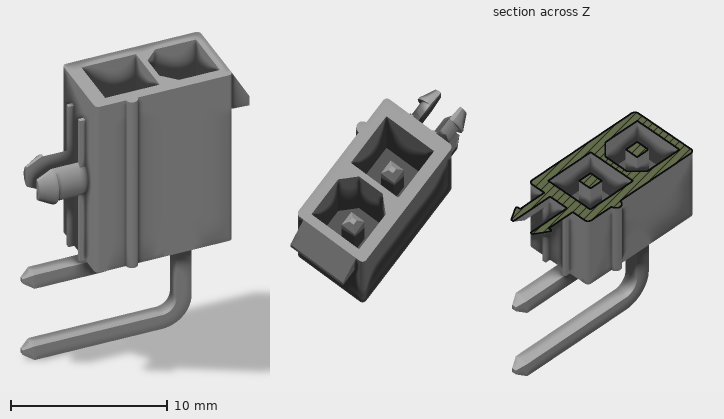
import cadquery as cq


HOUSING_WIDTH = 5.4
HOUSING_DEPTH = 9.6
HOUSING_HEIGHT = 12.8
CORNER_RADIUS = 0.3

CONTACT_PITCH = 4.2
FRONT_CONTACT_Y = 2.9
REAR_CONTACT_Y = FRONT_CONTACT_Y + CONTACT_PITCH
POCKET_SIZE = 3.8
POCKET_DEPTH = 9.96
POCKET_CHAMFER = 0.95

PIN_SIZE = 1.05
PIN_INNER_BEND = 1.0
PIN_BEND_RADIUS = PIN_INNER_BEND + PIN_SIZE / 2
PIN_POINT_LENGTH = 0.68
PIN_POINT_SIZE = 0.34
PIN_TOP_RECESS = 3.99
PIN_TOP_Z = HOUSING_HEIGHT - PIN_TOP_RECESS
PIN_REACH = 4.0
PIN_ROW_SPACING = 5.5
OVERALL_HEIGHT = 19.93
REAR_PIN_Z = HOUSING_HEIGHT - OVERALL_HEIGHT + PIN_SIZE / 2
FRONT_PIN_Z = REAR_PIN_Z + PIN_ROW_SPACING

RAMP_WIDTH = 4.2
RAMP_REACH = 1.4
RAMP_SLOPE_HEIGHT = 2.43
RAMP_ROOT_HEIGHT = 3.07
RAMP_LIP_HEIGHT = 3.15

SIDE_RIB_RADIUS = 0.4
SIDE_RIB_Y = 2.51

SPLIT_GAP = 1.51
RAIL_THICKNESS = 0.3
RAIL_REACH = 0.4
RAIL_HEIGHT = 10.85
PEG_Z = 6.2
PEG_RADIUS = 1.5
PEG_LENGTH = 3.3
BARB_OVERHANG = 0.28
BARB_RIM_LENGTH = 0.14
BARB_TAPER_LENGTH = 1.02
BARB_TIP_RADIUS = 1.0
BARB_TIP_HEIGHT = 1.47


def make_housing():
    return (
        cq.Workplane("XY")
        .center(0, HOUSING_DEPTH / 2)
        .rect(HOUSING_WIDTH, HOUSING_DEPTH)
        .extrude(HOUSING_HEIGHT)
        .edges("|Z")
        .fillet(CORNER_RADIUS)
    )


def make_pocket(contact_y):
    return (
        cq.Workplane("XY", origin=(0, contact_y, HOUSING_HEIGHT))
        .rect(POCKET_SIZE, POCKET_SIZE)
        .extrude(-POCKET_DEPTH)
    )


def make_ramp():
    lip_y = HOUSING_DEPTH + RAMP_REACH
    inner_y = HOUSING_DEPTH - CORNER_RADIUS
    outline = [
        (inner_y, HOUSING_HEIGHT),
        (HOUSING_DEPTH, HOUSING_HEIGHT),
        (lip_y, HOUSING_HEIGHT - RAMP_SLOPE_HEIGHT),
        (lip_y, HOUSING_HEIGHT - RAMP_LIP_HEIGHT),
        (HOUSING_DEPTH, HOUSING_HEIGHT - RAMP_ROOT_HEIGHT),
        (inner_y, HOUSING_HEIGHT - RAMP_ROOT_HEIGHT),
    ]
    return cq.Workplane("YZ").polyline(outline).close().extrude(RAMP_WIDTH / 2, both=True)


def make_side_rib():
    return (
        cq.Workplane("XY")
        .center(HOUSING_WIDTH / 2, SIDE_RIB_Y)
        .circle(SIDE_RIB_RADIUS)
        .extrude(HOUSING_HEIGHT)
    )


def make_rail(side):
    return (
        cq.Workplane("XY")
        .center(side * (SPLIT_GAP + RAIL_THICKNESS) / 2, 0)
        .rect(RAIL_THICKNESS, 2 * RAIL_REACH)
        .extrude(RAIL_HEIGHT)
    )


def make_shank():
    """Round peg with its middle cut away, running forward from the front wall."""
    shank_length = PEG_LENGTH - BARB_TAPER_LENGTH
    shank = cq.Workplane("XZ", origin=(0, 0, PEG_Z)).circle(PEG_RADIUS).extrude(shank_length)
    gap = cq.Workplane("XY").box(SPLIT_GAP, 2 * PEG_LENGTH, 2 * PEG_RADIUS).translate((0, 0, PEG_Z))
    return shank.cut(gap)


def make_barb(side):
    """Outward-stepped, tapering end of one half of the peg."""
    taper_y = BARB_TAPER_LENGTH - PEG_LENGTH
    rim_y = taper_y + BARB_RIM_LENGTH
    flat_half_height = (PEG_RADIUS**2 - (SPLIT_GAP / 2) ** 2) ** 0.5
    round_end = (
        cq.Workplane("XY")
        .polyline(
            [
                (0, rim_y),
                (PEG_RADIUS, rim_y),
                (PEG_RADIUS, taper_y),
                (BARB_TIP_RADIUS, -PEG_LENGTH),
                (0, -PEG_LENGTH),
            ]
        )
        .close()
        .revolve(360, (0, 0, 0), (0, 1, 0))
        .translate((side * BARB_OVERHANG, 0, PEG_Z))
    )
    wedge = (
        cq.Workplane("YZ", origin=(side * SPLIT_GAP / 2, 0, PEG_Z))
        .polyline(
            [
                (rim_y, flat_half_height),
                (taper_y, flat_half_height),
                (-PEG_LENGTH, BARB_TIP_HEIGHT / 2),
                (-PEG_LENGTH, -BARB_TIP_HEIGHT / 2),
                (taper_y, -flat_half_height),
                (rim_y, -flat_half_height),
            ]
        )
        .close()
        .extrude(side * (PEG_RADIUS + BARB_OVERHANG))
    )
    return round_end.intersect(wedge)


def make_point(plane):
    """Blunt four-sided point rising along the normal of the given plane."""
    return (
        cq.Workplane(plane)
        .rect(PIN_SIZE, PIN_SIZE)
        .workplane(offset=PIN_POINT_LENGTH)
        .rect(PIN_POINT_SIZE, PIN_POINT_SIZE)
        .loft(ruled=True)
    )


def make_pin(contact_y, tail_z):
    """Square pin from inside its pocket down and forward, pointed at both ends."""
    shoulder_z = PIN_TOP_Z - PIN_POINT_LENGTH
    shoulder_y = PIN_POINT_LENGTH - PIN_REACH
    centre_line = (
        cq.Workplane("YZ")
        .moveTo(contact_y, shoulder_z)
        .lineTo(contact_y, tail_z + PIN_BEND_RADIUS)
        .tangentArcPoint((contact_y - PIN_BEND_RADIUS, tail_z), relative=False)
        .lineTo(shoulder_y, tail_z)
    )
    top_plane = cq.Plane(origin=(0, contact_y, shoulder_z), xDir=(1, 0, 0), normal=(0, 0, 1))
    tail_plane = cq.Plane(origin=(0, shoulder_y, tail_z), xDir=(1, 0, 0), normal=(0, -1, 0))
    bar = cq.Workplane(top_plane).rect(PIN_SIZE, PIN_SIZE).sweep(centre_line)
    return bar.union(make_point(top_plane)).union(make_point(tail_plane))


front_pocket = make_pocket(FRONT_CONTACT_Y)
rear_pocket = make_pocket(REAR_CONTACT_Y).edges("|Z and <Y").chamfer(POCKET_CHAMFER)

result = make_housing().union(make_ramp()).union(make_side_rib())
result = result.cut(front_pocket).cut(rear_pocket)
result = result.union(make_shank())
for side in (-1, 1):
    result = result.union(make_rail(side)).union(make_barb(side))
result = result.union(make_pin(FRONT_CONTACT_Y, FRONT_PIN_Z))
result = result.union(make_pin(REAR_CONTACT_Y, REAR_PIN_Z))